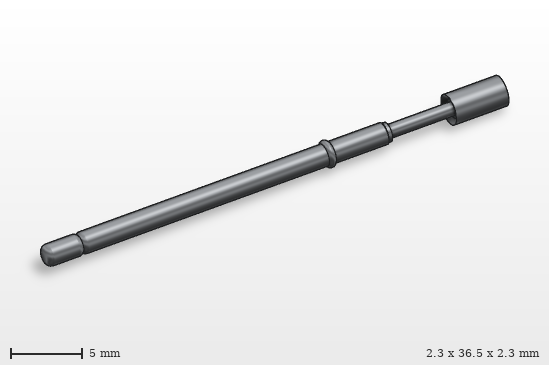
import cadquery as cq
import math

length = 36.5

head_diameter = 2.3
head_radius = head_diameter / 2
head_length = 4.2

recess_depth = 0.3
recess_floor_radius = 0.73

rod_radius = 0.5
rod_length = 4.85

lip_radius = 0.73
lip_length = 0.33

barrel_diameter = 1.65
barrel_radius = barrel_diameter / 2
tail_flat_radius = 0.35
tail_round = barrel_radius - tail_flat_radius

bead_radius = 1.02
bead_width = 0.55
bead_from_head = 13.87

groove_radius = 0.65
groove_width = 0.65
groove_from_tail = 2.85

head_start = length - head_length
recess_floor = head_start + recess_depth
lip_end = head_start - rod_length
barrel_end = lip_end - lip_length
bead_center = length - bead_from_head
groove_rear = groove_from_tail - groove_width / 2
groove_front = groove_from_tail + groove_width / 2


def round_down(outer_y, inner_y, inner_radius):
    """Ends and middle of an arc that leaves the barrel tangentially at outer_y and drops to inner_radius."""
    run = inner_y - outer_y
    drop = barrel_radius - inner_radius
    arc_radius = (run**2 + drop**2) / (2 * drop)
    half_sweep = math.atan2(drop, abs(run))
    middle_y = outer_y + math.copysign(arc_radius * math.sin(half_sweep), run)
    middle_radius = barrel_radius - arc_radius * (1 - math.cos(half_sweep))
    return (barrel_radius, outer_y), (middle_radius, middle_y), (inner_radius, inner_y)


tail_top, tail_middle, tail_edge = round_down(tail_round, 0, tail_flat_radius)
rear_top, rear_middle, valley = round_down(groove_rear, groove_from_tail, groove_radius)
front_top, front_middle, _ = round_down(groove_front, groove_from_tail, groove_radius)

half_section = (
    cq.Workplane("XY")
    .lineTo(*tail_edge)
    .threePointArc(tail_middle, tail_top)
    .lineTo(*rear_top)
    .threePointArc(rear_middle, valley)
    .threePointArc(front_middle, front_top)
    .lineTo(barrel_radius, bead_center - bead_width / 2)
    .threePointArc(
        (bead_radius, bead_center),
        (barrel_radius, bead_center + bead_width / 2),
    )
    .lineTo(barrel_radius, barrel_end)
    .lineTo(lip_radius, barrel_end)
    .lineTo(lip_radius, lip_end)
    .lineTo(rod_radius, lip_end)
    .lineTo(rod_radius, recess_floor)
    .lineTo(recess_floor_radius, recess_floor)
    .lineTo(head_radius, head_start)
    .lineTo(head_radius, length)
    .lineTo(0, length)
    .close()
)

result = half_section.revolve(360, (0, 0, 0), (0, 1, 0))